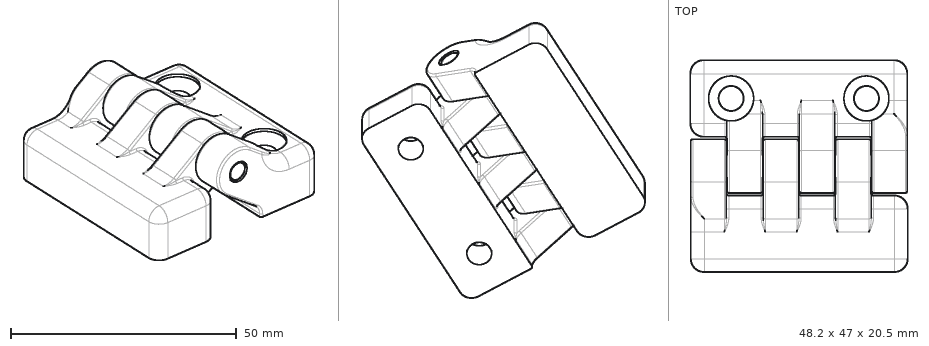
import cadquery as cq
import math

overall_width = 48.2
overall_depth = 47.0
leaf_shift = 0.1
knuckle_gap = 0.1
block_depth = 17.0
block_height = 12.5
block_round = 3.0
pivot_height = 14.5
overall_height = 20.5
knuckles_per_leaf = 3
arm_slope = math.radians(36)
heel_radius = 5.0
throat_radius = 3.0
edge_round = 0.5
pin_diameter = 5.0
pin_chamfer = 0.45
pin_recess = 0.25
hole_offset = 15.0
screw_diameter = 5.5
head_diameter = 10.0
head_recess = 0.7

leaf_width = overall_width - leaf_shift
leaf_left = leaf_shift - overall_width / 2
wall_y = block_depth - overall_depth / 2
knuckle_radius = overall_height - pivot_height
knuckle_span = leaf_width - leaf_shift
knuckle_pitch = (knuckle_span + knuckle_gap) / (2 * knuckles_per_leaf)
knuckle_width = knuckle_pitch - knuckle_gap
arm_lefts = [leaf_left + 2 * i * knuckle_pitch for i in range(knuckles_per_leaf)]

arm_top = (-knuckle_radius * math.sin(arm_slope), pivot_height + knuckle_radius * math.cos(arm_slope))
heel_corner_y = arm_top[0] - (arm_top[1] - block_height) / math.tan(arm_slope)
heel_y = heel_corner_y - heel_radius * math.tan(arm_slope / 2)
heel_axis_z = block_height + heel_radius


def arc_point(center, radius, angle):
    return (center[0] + radius * math.cos(angle), center[1] + radius * math.sin(angle))


def block():
    """Mounting block of the front leaf, rounded on its upright and top edges."""
    body = cq.Workplane("XY").box(leaf_width, block_depth, block_height, centered=False)
    body = body.edges("|Z").fillet(block_round).faces(">Z").edges().fillet(block_round)
    return body.translate((leaf_left, -overall_depth / 2, 0))


def arm_profile():
    """Side outline of one arm: knuckle, sloping neck and its foot inside the block."""
    pivot = (0, pivot_height)
    heel_center = (heel_y, heel_axis_z)
    arm_bottom = (-arm_top[0], 2 * pivot_height - arm_top[1])
    throat_corner_z = arm_bottom[1] - (arm_bottom[0] - wall_y) * math.tan(arm_slope)
    throat_turn = math.pi / 2 - arm_slope
    throat_z = throat_corner_z - throat_radius * math.tan(throat_turn / 2)
    throat_center = (wall_y + throat_radius, throat_z)
    down = -math.pi / 2
    return (
        cq.Workplane("YZ")
        .moveTo(heel_y, 0)
        .lineTo(heel_y, block_height)
        .threePointArc(arc_point(heel_center, heel_radius, down + arm_slope / 2),
                       arc_point(heel_center, heel_radius, down + arm_slope))
        .lineTo(*arm_top)
        .threePointArc(arc_point(pivot, knuckle_radius, arm_slope), arm_bottom)
        .lineTo(*arc_point(throat_center, throat_radius, math.pi - throat_turn))
        .threePointArc(arc_point(throat_center, throat_radius, math.pi - throat_turn / 2),
                       (wall_y, throat_z))
        .lineTo(wall_y, 0)
        .close()
    )


def arm(left):
    return arm_profile().extrude(knuckle_width).translate((left, 0, 0))


def round_cheeks(body, cheeks):
    """Rounds the cheek outlines; each pivot arc leads the fillet round its tangent outline."""
    return body.faces(cheeks).edges(">Y").fillet(edge_round)


def hollow_shoulder_cutter():
    """Carries the block's top round up along the heel, turned about the heel axis."""
    outside_x = leaf_left - edge_round
    inside_x = leaf_left + block_round
    round_center = (inside_x, block_height - block_round)
    profile = (
        cq.Workplane("XZ", origin=(0, heel_y, 0))
        .moveTo(inside_x, block_height)
        .threePointArc(arc_point(round_center, block_round, math.radians(135)),
                       (leaf_left, block_height - block_round))
        .lineTo(outside_x, block_height - block_round)
        .lineTo(outside_x, heel_axis_z)
        .lineTo(inside_x, heel_axis_z)
        .close()
    )
    return profile.revolve(90, (0, heel_axis_z), (1, heel_axis_z))


def x_cylinder(diameter, length):
    """Cylinder on the pivot axis, centred across the width."""
    plane = cq.Workplane("YZ", origin=(-length / 2, 0, pivot_height))
    return plane.circle(diameter / 2).extrude(length)


def leaf():
    body = block()
    end_left, *inner_lefts = arm_lefts
    body = body.union(round_cheeks(arm(end_left), ">X"))
    for left in inner_lefts:
        body = body.union(round_cheeks(arm(left), "<X or >X"))
    body = round_cheeks(body.cut(hollow_shoulder_cutter()), "<X")
    return body.cut(x_cylinder(pin_diameter, overall_width))


def blend_inner_cheeks(body):
    """Adds the hollow blends where the inner arm cheeks meet the wall of either block."""
    inner_cheeks = arm_lefts[1:] + [left + knuckle_width for left in arm_lefts]
    for cheek in inner_cheeks:
        for end in (-1, 1):
            wall_edge_point = (-end * cheek, -end * wall_y, block_height / 2)
            corner = cq.selectors.NearestToPointSelector(wall_edge_point)
            body = body.edges("|Z").edges(corner).fillet(edge_round)
    return body


def screw_hole_cutter():
    """Through hole with a countersink, a short recess and clearance through the arms above."""
    cone_top = block_height - head_recess
    cone_depth = (head_diameter - screw_diameter) / 2
    return (
        cq.Workplane("XZ")
        .lineTo(screw_diameter / 2, 0)
        .lineTo(screw_diameter / 2, cone_top - cone_depth)
        .lineTo(head_diameter / 2, cone_top)
        .lineTo(head_diameter / 2, overall_height)
        .lineTo(0, overall_height)
        .close()
        .revolve()
    )


front_leaf = leaf()
back_leaf = front_leaf.rotate((0, 0, 0), (0, 0, 1), 180)
pin = x_cylinder(pin_diameter, knuckle_span - 2 * pin_recess)
pin = pin.faces("<X or >X").edges().chamfer(pin_chamfer)
hinge = blend_inner_cheeks(front_leaf.union(pin).union(back_leaf))

for side in (-1, 1):
    hole_x = side * hole_offset - leaf_shift / 2
    hinge = hinge.cut(screw_hole_cutter().translate((hole_x, hole_offset, 0)))

result = hinge